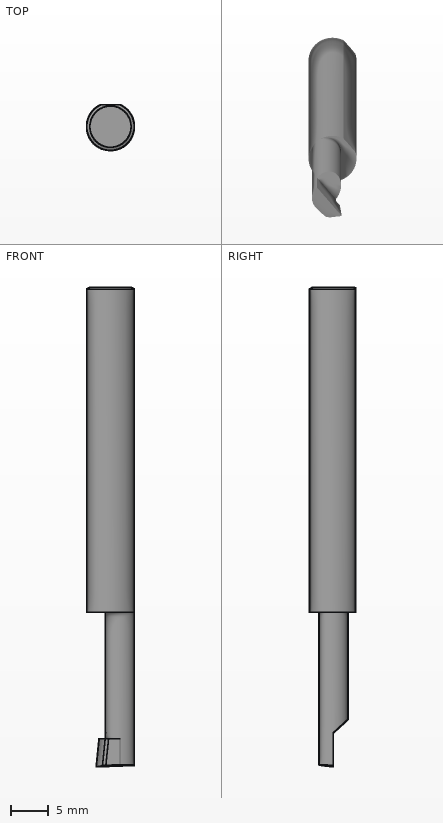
import cadquery as cq

total_length = 63.5
shank_radius = 3.2
shank_flat_y = 2.9
shank_bottom = 20.45
chamfer_radial = 0.45
chamfer_height = 0.25

neck_diameter = 3.9
neck_radius = neck_diameter / 2
neck_x = shank_radius - neck_radius

relief_bottom = 4.5
relief_top = 6.3

head_height = 3.75
head_side_lean = 0.4
tip_x = -1.9
flank_corner = (-1.1, -1.4)
heel_corner = (-0.65, -1.8)

end_rise_along_edge = 0.2
end_rise_to_heel = 0.2

clearance = 3.2


def make_shank():
    length = total_length - shank_bottom
    shank = cq.Workplane("XY").workplane(offset=shank_bottom).circle(shank_radius).extrude(length)
    shank = shank.faces(">Z").chamfer(chamfer_height, chamfer_radial)
    flat_cutter = cq.Workplane("XY").box(
        2 * shank_radius, clearance, total_length, centered=(True, False, False)
    ).translate((0, shank_flat_y, 0))
    return shank.cut(flat_cutter)


def make_neck():
    neck = cq.Workplane("XY").center(neck_x, 0).circle(neck_radius).extrude(shank_bottom)
    slope = (relief_top - relief_bottom) / neck_radius
    outer_y = neck_radius + clearance
    relief = (
        cq.Workplane("YZ")
        .polyline([
            (0, -clearance),
            (outer_y, -clearance),
            (outer_y, relief_bottom + slope * outer_y),
            (0, relief_bottom),
        ])
        .close()
        .extrude(2 * neck_diameter, both=True)
    )
    head_room = cq.Workplane("XY").box(
        neck_diameter, neck_diameter, head_height, centered=(False, True, False)
    ).translate((neck_x - neck_diameter, 0, 0))
    return neck.cut(relief).cut(head_room)


def head_outline(lean):
    """Head section; the cutting-side corners move towards +X by lean."""
    return [
        (tip_x + lean, 0),
        (flank_corner[0] + lean, flank_corner[1]),
        (heel_corner[0] + lean, heel_corner[1]),
        (neck_x, -neck_radius),
        (neck_x, 0),
    ]


def make_head():
    return (
        cq.Workplane("XY")
        .polyline(head_outline(0))
        .close()
        .workplane(offset=head_height)
        .polyline(head_outline(head_side_lean))
        .close()
        .loft(ruled=True)
    )


def make_end_cutter():
    """Half space below the tilted end face, which passes through the tip."""
    slope_x = end_rise_along_edge / (shank_radius - tip_x)
    slope_y = -end_rise_to_heel / neck_radius
    end_plane = cq.Plane(origin=(tip_x, 0, 0), xDir=(1, 0, slope_x), normal=(-slope_x, -slope_y, 1))
    return cq.Workplane(end_plane).rect(total_length, total_length).extrude(-clearance)


result = make_shank().union(make_neck()).union(make_head()).cut(make_end_cutter())